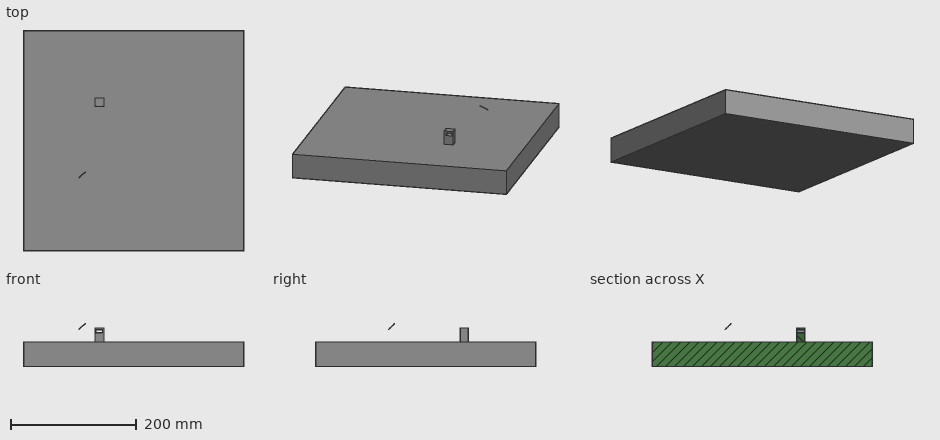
import cadquery as cq
import math

slab_side = 350.0
slab_height = 39.5
total_height = 68.2

post_width = 14.7
post_depth = 13.3
post_height = 22.0
post_center_x = -54.2
post_center_y = 61.2
window_width = 10.0
window_height = 4.2
window_top_margin = 3.0
window_offset_x = -0.7

wire_radius = 0.18
wire_start_x = -87.0
wire_start_y = -59.0
wire_run_x = 10.5
wire_rise = 9.0
wire_bow = 0.7


def make_slab():
    return cq.Workplane("XY").box(slab_side, slab_side, slab_height, centered=(True, True, False))


def make_post():
    post = (
        cq.Workplane("XY")
        .box(post_width, post_depth, post_height, centered=(True, True, False))
    )
    window_center_z = post_height - window_top_margin - window_height / 2
    window = (
        cq.Workplane("XY")
        .box(window_width, post_depth, window_height)
        .translate((window_offset_x, 0, window_center_z))
    )
    return post.cut(window).translate((post_center_x, post_center_y, slab_height))


def make_wire():
    slope_length = wire_rise * math.sqrt(2)
    chord = math.hypot(wire_run_x, slope_length)
    middle = (
        wire_run_x / 2 - wire_bow * slope_length / chord,
        slope_length / 2 + wire_bow * wire_run_x / chord,
    )
    half_sweep = 2 * math.atan(2 * wire_bow / chord)
    end_slope = math.atan2(slope_length, wire_run_x) - half_sweep
    rim_rise = wire_radius * math.sqrt(1 - (math.sin(end_slope) ** 2) / 2)
    start_z = total_height - rim_rise - wire_rise
    tilted_plane = cq.Plane(
        origin=(wire_start_x, wire_start_y, start_z), xDir=(1, 0, 0), normal=(0, -1, 1)
    )
    path = cq.Workplane(tilted_plane).threePointArc(middle, (wire_run_x, slope_length))
    start_plane = cq.Plane(origin=path.val().startPoint(), normal=path.val().tangentAt(0))
    return cq.Workplane(start_plane).circle(wire_radius).sweep(path)


slab = make_slab()
post = make_post()
wire = make_wire()

result = cq.Compound.makeCompound([slab.val(), post.val(), wire.val()])